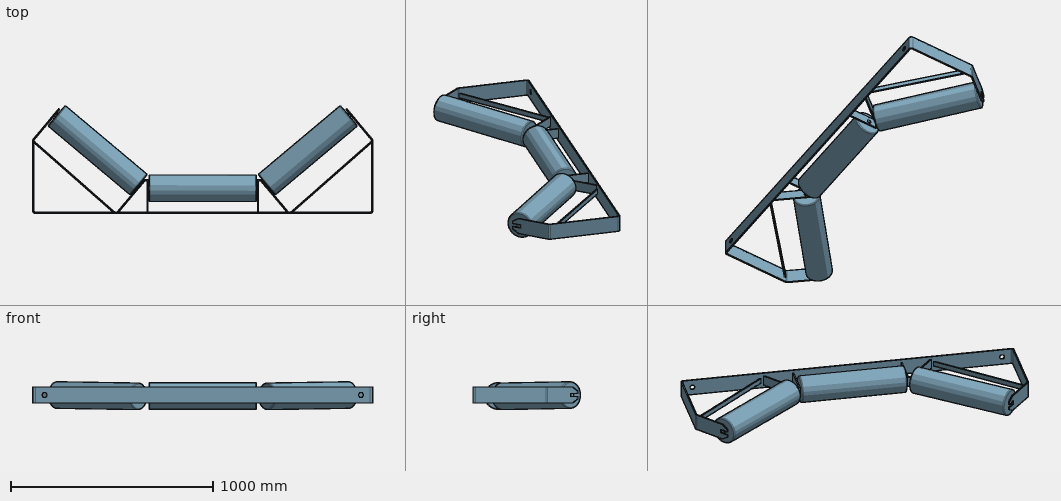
import cadquery as cq
import math

frame_width = 1680.0
strip_thickness = 7.0
strip_height = 80.0
upright_height = 365.0
bend_radius = 13.0
ear_length = 200.0
tip_cut_along = 32.0
tip_cut_across = 20.0
mounting_hole_diameter = 24.0
mounting_hole_x = 781.0

trough_angle = 40.0
wing_tilt = 0.7
roller_diameter = 133.0
roller_length = 530.0
roller_edge_radius = 5.0
end_gap = 5.0
shaft_diameter = 20.0
shaft_flats = 17.0
middle_roller_center = (0, 125.0, -5.0)
wing_roller_center = (-519.0, 312.0, -3.0)

bracket_height = 50.0
bracket_top = 168.0
brace_height = 25.0
brace_top_y = 355.0
brace_foot_x = -437.0

half_width = frame_width / 2
slope = math.radians(trough_angle)
axis_direction = cq.Vector(math.cos(slope), -math.sin(slope))
ear_direction = cq.Vector(math.sin(slope), math.cos(slope))
ear_foot = cq.Vector(-half_width, upright_height)
ear_tip = ear_foot + ear_direction * ear_length
carrier_distance = roller_length / 2 + end_gap
shaft_length = 2 * (carrier_distance + strip_thickness)


def mirrored(shape):
    """The same shape on the other side of the middle plane."""
    return shape.mirror("YZ")


def place_middle(shape):
    """Move a shape made about a roller at the origin to the middle roller."""
    return shape.translate(middle_roller_center)


def place_wing(shape):
    """Move a shape made about a roller at the origin to the left wing roller."""
    tilted = shape.rotate((0, 0, 0), (0, 1, 0), wing_tilt)
    sloped = tilted.rotate((0, 0, 0), (0, 0, 1), -trough_angle)
    return sloped.translate(wing_roller_center)


def rod(diameter, length):
    """Round bar along X, centred on the origin."""
    return cq.Workplane("YZ", origin=(-length / 2, 0, 0)).circle(diameter / 2).extrude(length)


def make_shaft():
    """Shaft whose two ends, outside the roller, are flatted to fit their slots."""
    flatted = cq.Workplane("XY").box(shaft_length, shaft_diameter, shaft_flats)
    return rod(shaft_diameter, shaft_length).intersect(flatted)


def make_roller():
    """Roller along X, centred on the origin, in one piece with its shaft."""
    shell = rod(roller_diameter, roller_length).edges("%CIRCLE").fillet(roller_edge_radius)
    return shell.union(make_shaft())


def make_strip(corners, height, radius=None):
    """Flat bar on edge. One side follows the corners and the thickness lies to the left of them.

    With a radius, the bends are rounded; all of them turn left.
    """
    path = [cq.Vector(*corner) for corner in corners]
    steps = [(end - start).normalized() for start, end in zip(path, path[1:])]
    normals = [cq.Vector(-step.y, step.x) for step in steps]
    miters = [(a + b) * (1 / (1 + a.dot(b))) for a, b in zip(normals, normals[1:])]
    offsets = [normals[0], *miters, normals[-1]]
    far_side = [point + offset * strip_thickness for point, offset in zip(path, offsets)]

    outline = [(point.x, point.y) for point in path + far_side[::-1]]
    body = cq.Workplane("XY", origin=(0, 0, -height / 2)).polyline(outline).close().extrude(height)
    if radius:
        for outside, inside in zip(path[1:-1], far_side[1:-1]):
            body = body.edges(edge_at(outside)).fillet(radius)
            body = body.edges(edge_at(inside)).fillet(radius - strip_thickness)
    return body


def edge_at(point):
    """Selects the vertical edge at a corner of a strip."""
    reach = cq.Vector(1, 1, 1) * (strip_thickness / 4)
    return cq.selectors.BoxSelector((point - reach).toTuple(), (point + reach).toTuple())


def make_outer_strip():
    """Base, uprights and ears, bent from one strip."""
    left = [(ear_tip.x, ear_tip.y), (ear_foot.x, ear_foot.y), (-half_width, 0)]
    right = [(-x, y) for x, y in reversed(left)]
    return make_strip(left + right, strip_height, bend_radius)


def make_bracket():
    """Bent strip under the inner end of the left wing and the left end of the middle roller."""
    wing_end = cq.Vector(*wing_roller_center[:2]) + axis_direction * carrier_distance

    def on_slope(y):
        return (wing_end.x + (y - wing_end.y) * math.tan(slope), y)

    post_x = -carrier_distance
    return make_strip(
        [(post_x, 0), (post_x, bracket_top), on_slope(bracket_top), on_slope(0)], bracket_height
    )


def make_brace():
    """Narrow strip from the left upright down to the base."""
    return make_strip([(-half_width, brace_top_y), (brace_foot_x, 0)], brace_height)


def make_left_supports():
    """Left bracket and brace, trimmed to meet the inner faces of the upright and the base."""
    inside_frame = cq.Workplane("XY", origin=(-half_width + strip_thickness, strip_thickness, 0)).box(
        half_width, upright_height, strip_height, centered=(False, False, True)
    )
    return make_bracket().union(make_brace()).intersect(inside_frame)


def make_tip_cut():
    """Wedges that take the two corners off the left ear tip."""
    plane = cq.Plane(
        origin=ear_tip.toTuple(), xDir=ear_direction.toTuple(), normal=axis_direction.toTuple()
    )
    half_height = strip_height / 2
    wedge = (
        cq.Workplane(plane)
        .polyline([
            (0, half_height),
            (-tip_cut_along, half_height),
            (0, half_height - tip_cut_across),
        ])
        .close()
        .extrude(strip_thickness)
    )
    return wedge.union(wedge.mirror("XY"))


def make_ear_slot():
    """Slot for the outer shaft end, open at the ear tip, about a roller at the origin."""
    slot = cq.Workplane("XY").box(
        shaft_length, ear_length, shaft_flats, centered=(False, False, True)
    )
    return slot.translate((-shaft_length, -shaft_diameter / 2, 0))


def make_mounting_holes():
    return (
        cq.Workplane("XZ")
        .pushPoints([(-mounting_hole_x, 0), (mounting_hole_x, 0)])
        .circle(mounting_hole_diameter / 2)
        .extrude(-strip_thickness)
    )


def make_frame():
    left_supports = make_left_supports()
    body = make_outer_strip().union(left_supports).union(mirrored(left_supports))
    left_cuts = [make_tip_cut(), place_wing(make_ear_slot()), place_wing(make_shaft())]
    for cut in left_cuts:
        body = body.cut(cut).cut(mirrored(cut))
    return body.cut(place_middle(make_shaft())).cut(make_mounting_holes())


frame = make_frame()
middle_roller = place_middle(make_roller())
left_roller = place_wing(make_roller())
wing_rollers = [left_roller, mirrored(left_roller)]

result = cq.Compound.makeCompound(
    [frame.val(), middle_roller.val(), *[roller.val() for roller in wing_rollers]]
)